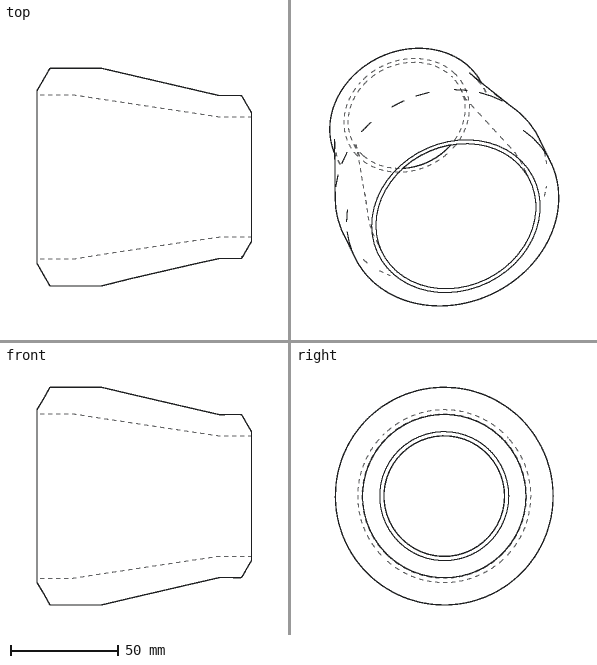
import cadquery as cq
import math

length = 100.0
large_outer_radius = 101.6 / 2
large_bore_radius = 76.6 / 2
small_outer_radius = 76.1 / 2
small_bore_radius = 56.1 / 2
large_bore_length = 16.9
bevel_edge_rounding = 0.8
cone_edge_rounding = 1.5
large_end_length = 30.0
small_end_length = 15.0
land = 2.0
bevel_angle = 30

bevel_slope = math.tan(math.radians(bevel_angle))
large_face_radius = large_bore_radius + land
small_face_radius = small_bore_radius + land
large_bevel_length = (large_outer_radius - large_face_radius) * bevel_slope
small_bevel_length = (small_outer_radius - small_face_radius) * bevel_slope

cone_start = large_end_length
cone_end = length - small_end_length

half_section = [
    (0, large_face_radius),
    (large_bevel_length, large_outer_radius),
    (cone_start, large_outer_radius),
    (cone_end, small_outer_radius),
    (length - small_bevel_length, small_outer_radius),
    (length, small_face_radius),
    (length, small_bore_radius),
    (cone_end, small_bore_radius),
    (large_bore_length, large_bore_radius),
    (0, large_bore_radius),
]

reducer = cq.Workplane("XY").polyline(half_section).close().revolve(360, (0, 0, 0), (1, 0, 0))


def round_outer_edge(body, x, radius, rounding):
    """Round the circular edge of the given radius that lies at x."""
    margin = 0.1
    corner = (x - margin, -radius - margin, -radius - margin)
    opposite_corner = (x + margin, radius + margin, radius + margin)
    edge = body.edges(cq.selectors.BoxSelector(corner, opposite_corner, boundingbox=True))
    return edge.fillet(rounding)


reducer = round_outer_edge(reducer, large_bevel_length, large_outer_radius, bevel_edge_rounding)
reducer = round_outer_edge(reducer, cone_start, large_outer_radius, cone_edge_rounding)
result = round_outer_edge(reducer, length - small_bevel_length, small_outer_radius, bevel_edge_rounding)